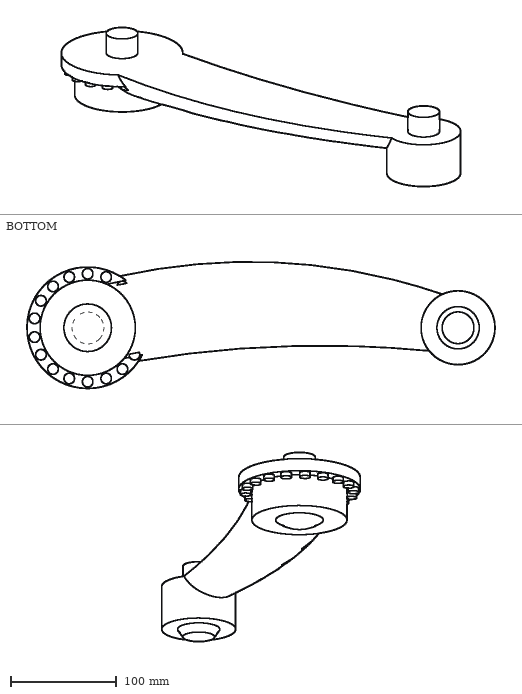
import cadquery as cq
import math


HUB_SPACING = 350.0
HUB_HEIGHT = 42.5
TOTAL_DEPTH = 50.0
CAP_HEIGHT = TOTAL_DEPTH - HUB_HEIGHT

PIN_RADIUS = 15.0
PIN_HEIGHT = 20.0

FLANGE_RADIUS = 57.5
FLANGE_THICKNESS = 12.0
BODY_RADIUS = 45.0
STUD_COUNT = 18
FIRST_STUD_ANGLE = 90.0
STUD_RADIUS = 5.0
STUD_HEIGHT = 4.0
STUD_CLEARANCE = 1.0
STUD_CIRCLE_RADIUS = BODY_RADIUS + STUD_CLEARANCE + STUD_RADIUS
DOME_BASE_RADIUS = 22.5

SMALL_HUB_RADIUS = 35.0
BOSS_BASE_RADIUS = 20.0
BOSS_TIP_RADIUS = 15.0

ARM_SAG = 22.0
ARM_START_HALF_WIDTH = 40.0
ARM_MIDDLE_HALF_WIDTH = 40.0
ARM_END_HALF_WIDTH = 25.0
ARM_START_DEPTH = 33.5
ARM_END_DEPTH = 19.0


def cylinder_down(x, radius, height):
    """Vertical cylinder centred at (x, 0), running down from z = 0."""
    return cq.Workplane("XY", origin=(x, 0, 0)).circle(radius).extrude(-height)


def make_pin(x):
    """Upper pin centred at (x, 0), standing on z = 0."""
    return cq.Workplane("XY", origin=(x, 0, 0)).circle(PIN_RADIUS).extrude(PIN_HEIGHT)


def make_studs():
    """Ring of short round studs hanging under the flange."""
    return (
        cq.Workplane("XY", origin=(0, 0, -FLANGE_THICKNESS))
        .polarArray(STUD_CIRCLE_RADIUS, FIRST_STUD_ANGLE, 360, STUD_COUNT)
        .circle(STUD_RADIUS)
        .extrude(-STUD_HEIGHT)
    )


def make_dome():
    """Spherical cap under the large hub."""
    sphere_radius = (DOME_BASE_RADIUS**2 + CAP_HEIGHT**2) / (2 * CAP_HEIGHT)
    half_angle = math.asin(DOME_BASE_RADIUS / sphere_radius) / 2
    mid_x = sphere_radius * math.sin(half_angle)
    mid_z = -TOTAL_DEPTH + sphere_radius * (1 - math.cos(half_angle))
    return (
        cq.Workplane("XZ")
        .moveTo(0, -HUB_HEIGHT)
        .lineTo(DOME_BASE_RADIUS, -HUB_HEIGHT)
        .threePointArc((mid_x, mid_z), (0, -TOTAL_DEPTH))
        .close()
        .revolve(360, (0, 0, 0), (0, 1, 0))
    )


def make_large_hub():
    flange = cylinder_down(0, FLANGE_RADIUS, FLANGE_THICKNESS)
    body = cylinder_down(0, BODY_RADIUS, HUB_HEIGHT)
    return flange.union(body).union(make_studs()).union(make_dome()).union(make_pin(0))


def make_small_hub():
    body = cylinder_down(HUB_SPACING, SMALL_HUB_RADIUS, HUB_HEIGHT)
    boss = (
        cq.Workplane("XY", origin=(HUB_SPACING, 0, -HUB_HEIGHT))
        .circle(BOSS_BASE_RADIUS)
        .workplane(offset=-CAP_HEIGHT)
        .circle(BOSS_TIP_RADIUS)
        .loft(ruled=True)
    )
    return body.union(boss).union(make_pin(HUB_SPACING))


def arm_section(x, y, direction, half_width, depth):
    """Wire of a flat-topped circular segment at (x, y), square to a heading in degrees from +X."""
    heading = math.radians(direction)
    center = cq.Vector(x, y, 0)
    across = cq.Vector(-math.sin(heading), math.cos(heading), 0) * half_width
    left = center + across
    right = center - across
    lowest = center - cq.Vector(0, 0, depth)
    underside = cq.Edge.makeThreePointArc(left, lowest, right)
    return cq.Wire.assembleEdges([underside, cq.Edge.makeLine(right, left)])


def make_arm():
    """Arm lofted through three sections, with a flat top on z = 0."""
    half_span = HUB_SPACING / 2
    end_direction = 2 * math.degrees(math.atan(ARM_SAG / half_span))
    middle_depth = (ARM_START_DEPTH + ARM_END_DEPTH) / 2
    sections = [
        arm_section(0, 0, -end_direction, ARM_START_HALF_WIDTH, ARM_START_DEPTH),
        arm_section(half_span, -ARM_SAG, 0, ARM_MIDDLE_HALF_WIDTH, middle_depth),
        arm_section(HUB_SPACING, 0, end_direction, ARM_END_HALF_WIDTH, ARM_END_DEPTH),
    ]
    return cq.Workplane("XY").newObject([cq.Solid.makeLoft(sections)])


result = make_large_hub().union(make_arm()).union(make_small_hub())